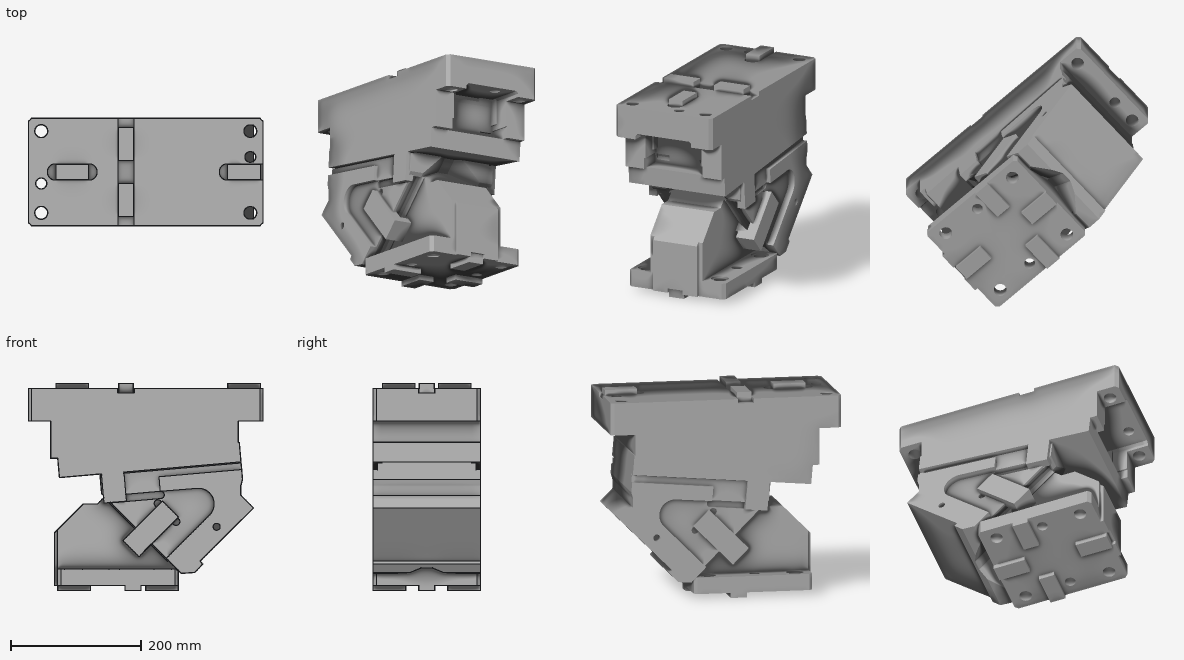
import cadquery as cq
import math

LENGTH = 360.0
HALF_WIDTH = 82.5
HEIGHT = 318.0
KEY_HEIGHT = 8.0
KEY_SLOT_DEPTH = 7.0
KEY_LENGTH = 50.5
BOLT_RADIUS = 9.7
DOWEL_RADIUS = 8.3
BOLT_Y = 62.5

TOP_FACE = HEIGHT - KEY_HEIGHT
UPPER_PLATE_BOTTOM = 260.0
CORNER_CHAMFER = 5.0

TRACK_ANGLE = math.radians(5)
TRACK_X = 47.5
TRACK_Z = 173.0
TRACK_LENGTH = 279.7
TRACK_END_HEIGHT = 30.0

CAM_SUM = 261.0
ROOF_SLOPE = math.tan(math.radians(30))


def track(along, above):
    """XZ point given along the track and square to it."""
    return (
        TRACK_X + along * math.cos(TRACK_ANGLE) - above * math.sin(TRACK_ANGLE),
        TRACK_Z + along * math.sin(TRACK_ANGLE) + above * math.cos(TRACK_ANGLE),
    )


def cam(down, above):
    """XZ point given by distance down the cam face and height above it."""
    return (
        CAM_SUM / 2 + (down + above) / math.sqrt(2),
        CAM_SUM / 2 + (above - down) / math.sqrt(2),
    )


def prism(points, y_min, y_max):
    """XZ outline extruded from y_min to y_max."""
    return cq.Workplane("XZ", origin=(0, y_max, 0)).polyline(points).close().extrude(y_max - y_min)


def cam_bar(section, start, end):
    """Section of (y, height above cam face) swept down the cam face from start to end."""
    x, z = cam(start, 0)
    plane = cq.Plane(origin=(x, 0, z), xDir=(0, 1, 0), normal=(1, 0, -1))
    return cq.Workplane(plane).polyline(section).close().extrude(end - start)


def block(x_min, x_max, y_min, y_max, z_min, z_max):
    return cq.Workplane("XY").box(
        x_max - x_min, y_max - y_min, z_max - z_min, centered=False
    ).translate((x_min, y_min, z_min))


def both_sides(shape):
    return shape.union(shape.mirror("XZ"))


def holes(points, radius, z_min, z_max):
    return cq.Workplane("XY", origin=(0, 0, z_min)).pushPoints(points).circle(radius).extrude(z_max - z_min)


HOLDER_STEP_Z = track(0, TRACK_END_HEIGHT)[1]
CROSS_SLOT_X = 137.0
CROSS_SLOT_WIDTH = 25.0
CROSS_KEY_CLEARANCE = 1.0
CROSS_KEY_INNER_Y = 17.5
LONG_KEY_HALF_WIDTH = 11.5
LONG_SLOT_HALF_WIDTH = 12.5
FRONT_KEY_X = 42.0
REAR_KEY_X = 305.5
LONG_SLOT_OVERRUN = 13.0
HOLE_INSET = 19.8
FRONT_DOWEL_Y = -17.5
REAR_DOWEL_Y = 23.0

HOLDER_FRONT_X = 34.2
HOLDER_REAR_X = 322.0
HOLDER_REAR_STEP_Z = 227.5

LEG_START = 64.8
LEG_END = 99.5
LEG_BOTTOM = -44.5
LEG_INNER_Y = 75.5
LIP_TOP = -34.5
LIP_INNER_Y = 69.0

CAVITY_HALF_WIDTH = 48.0
CAVITY_FOOT_HALF_WIDTH = 50.5
CAVITY_FOOT_TOP = 220.5
CAVITY_TOP = 269.0
CAVITY_CHAMFER = 3.5
CAVITY_BACK = 28.8
BACK_BEND = 81.7
BACK_LEAN = math.radians(7)
WALL_SLOT_HALF_WIDTH = 22.5
WALL_SLOT_BOTTOM = 262.8
WALL_SLOT_DEPTH = 3.5
RAIL_INNER_Y = 44.5
RAIL_BOTTOM = 228.2
RAIL_LENGTH = 10.8
NOTCH_INNER_Y = 26.0
NOTCH_BOTTOM = 208.0
NOTCH_HEIGHT = 9.5
NOTCH_DEPTH = 4.5


def upper_plate():
    plate = block(0, LENGTH, -HALF_WIDTH, HALF_WIDTH, UPPER_PLATE_BOTTOM, TOP_FACE)
    return plate.edges("|Z").chamfer(CORNER_CHAMFER)


def holder_trunk():
    outline = [
        (HOLDER_FRONT_X, UPPER_PLATE_BOTTOM),
        (HOLDER_FRONT_X, HOLDER_STEP_Z),
        track(0, TRACK_END_HEIGHT),
        track(0, 0),
        track(TRACK_LENGTH, 0),
        track(TRACK_LENGTH, TRACK_END_HEIGHT),
        (HOLDER_REAR_X, HOLDER_REAR_STEP_Z),
        (HOLDER_REAR_X, UPPER_PLATE_BOTTOM),
    ]
    return prism(outline, -HALF_WIDTH, HALF_WIDTH)


def hook_leg():
    """Leg on the +Y side with a lip that turns in under the slider flange."""

    def strip(top):
        return [
            track(LEG_START, LEG_BOTTOM), track(LEG_END, LEG_BOTTOM),
            track(LEG_END, top), track(LEG_START, top),
        ]

    return prism(strip(0), LEG_INNER_Y, HALF_WIDTH).union(prism(strip(LIP_TOP), LIP_INNER_Y, HALF_WIDTH))


def top_key_slots():
    floor = TOP_FACE - KEY_SLOT_DEPTH
    slots = block(CROSS_SLOT_X, CROSS_SLOT_X + CROSS_SLOT_WIDTH, -HALF_WIDTH, HALF_WIDTH, floor, TOP_FACE)
    length = KEY_LENGTH + 2 * LONG_SLOT_OVERRUN
    for key_x in (FRONT_KEY_X, REAR_KEY_X):
        slots = slots.union(
            cq.Workplane("XY", origin=(key_x + KEY_LENGTH / 2, 0, floor))
            .slot2D(length, 2 * LONG_SLOT_HALF_WIDTH).extrude(KEY_SLOT_DEPTH)
        )
    open_end = block(REAR_KEY_X, LENGTH, -LONG_SLOT_HALF_WIDTH, LONG_SLOT_HALF_WIDTH, floor, TOP_FACE)
    return slots.union(open_end)


def top_keys():
    floor = TOP_FACE - KEY_SLOT_DEPTH
    keys = both_sides(block(
        CROSS_SLOT_X + CROSS_KEY_CLEARANCE, CROSS_SLOT_X + CROSS_SLOT_WIDTH - CROSS_KEY_CLEARANCE,
        CROSS_KEY_INNER_Y, CROSS_KEY_INNER_Y + KEY_LENGTH, floor, HEIGHT,
    ))
    for key_x in (FRONT_KEY_X, REAR_KEY_X):
        keys = keys.union(block(
            key_x, key_x + KEY_LENGTH, -LONG_KEY_HALF_WIDTH, LONG_KEY_HALF_WIDTH, floor, HEIGHT
        ))
    return keys


def top_holes():
    rear_x = LENGTH - HOLE_INSET
    bolts = [(x, y) for x in (HOLE_INSET, rear_x) for y in (-BOLT_Y, BOLT_Y)]
    dowels = [(HOLE_INSET, FRONT_DOWEL_Y), (rear_x, REAR_DOWEL_Y)]
    return holes(bolts, BOLT_RADIUS, UPPER_PLATE_BOTTOM, TOP_FACE).union(
        holes(dowels, DOWEL_RADIUS, UPPER_PLATE_BOTTOM, TOP_FACE)
    )


def cavity_opening():
    """Stepped opening seen from -X, as a bar along X."""
    half = [
        (CAVITY_FOOT_HALF_WIDTH, HOLDER_STEP_Z),
        (CAVITY_FOOT_HALF_WIDTH, CAVITY_FOOT_TOP),
        (CAVITY_HALF_WIDTH, CAVITY_FOOT_TOP),
        (CAVITY_HALF_WIDTH, CAVITY_TOP - CAVITY_CHAMFER),
        (CAVITY_HALF_WIDTH - CAVITY_CHAMFER, CAVITY_TOP),
    ]
    section = half + [(-y, z) for y, z in reversed(half)]
    return cq.Workplane("YZ").polyline(section).close().extrude(LENGTH)


def back_wall_x(z):
    """X of the lower back wall, which stands square to the track."""
    bend_x, bend_z = track(CAVITY_BACK, BACK_BEND)
    return bend_x + (bend_z - z) * math.tan(TRACK_ANGLE)


def cavity_profile():
    """Side outline: level floor from the plate edge inward, back wall that leans forward at the top."""
    bend_x, bend_z = track(CAVITY_BACK, BACK_BEND)
    lean = (CAVITY_TOP - bend_z) * math.tan(TRACK_ANGLE + BACK_LEAN)
    return [
        (0, HOLDER_STEP_Z), (back_wall_x(HOLDER_STEP_Z), HOLDER_STEP_Z), (bend_x, bend_z),
        (bend_x - lean, CAVITY_TOP), (0, CAVITY_TOP),
    ]


def wall_notch():
    """Notch (+Y side) with a sloping floor at the foot of the back wall."""
    top = NOTCH_BOTTOM + NOTCH_HEIGHT
    front = back_wall_x(NOTCH_BOTTOM)
    back = front + NOTCH_DEPTH
    outline = [
        (front, NOTCH_BOTTOM), (back, NOTCH_BOTTOM + NOTCH_DEPTH), (back, top), (back_wall_x(top), top),
    ]
    return prism(outline, NOTCH_INNER_Y, CAVITY_HALF_WIDTH)


def front_cavity():
    cavity = cavity_opening().intersect(prism(cavity_profile(), -HALF_WIDTH, HALF_WIDTH))
    wall = back_wall_x(CAVITY_TOP)
    rail = block(wall - RAIL_LENGTH, LENGTH, RAIL_INNER_Y, HALF_WIDTH, RAIL_BOTTOM, CAVITY_TOP)
    slot = block(
        wall - WALL_SLOT_DEPTH, wall + WALL_SLOT_DEPTH,
        -WALL_SLOT_HALF_WIDTH, WALL_SLOT_HALF_WIDTH, WALL_SLOT_BOTTOM, CAVITY_TOP,
    )
    return cavity.cut(both_sides(rail)).union(slot).union(both_sides(wall_notch()))


def make_holder():
    holder = upper_plate().union(holder_trunk()).union(both_sides(hook_leg()))
    return holder.cut(top_key_slots()).union(top_keys()).cut(top_holes()).cut(front_cavity())


SLIDER_START = 62.3
FLANGE_GAP = 1.8
PAD_HALF_WIDTH = 68.5
CORE_HALF_WIDTH = 72.0
FLANGE_HALF_WIDTH = LEG_INNER_Y
GROOVE_FLOOR_Y = 67.0
GROOVE_TOP = -34.2
GROOVE_BOTTOM = -45.5
GROOVE_END = 158.0
CHEEK_START = 152.3
CHEEK_TOP = -12.0
TIP_X = 234.7
TIP = (TIP_X, CAM_SUM - TIP_X)
REAR_EDGE = [(255.0, 27.7), (267.5, 40.5), (263.5, 45.5), (345.2, 126.7), (325.8, 146.0), (325.8, 160.5)]
REAR_NOTCH_TOP = track(TRACK_LENGTH, -27.0)
WINDOW_CENTRE = (260.5, 133.0)
WINDOW_RADIUS = 24.0
WINDOW_TOP_ANGLE = 95
WINDOW_FOOT_ANGLE = -45
LIFT_HOLE = (288.7, 98.0)
LIFT_HOLE_RADIUS = 5.5
LIFT_HOLE_DEPTH = 14.5

V_HALF_WIDTH = 52.2
V_FLAT_HALF_WIDTH = 8.5
RECESS_SECTION = [(68.5, 0), (54.7, 8.0), (49.5, 6.5), (48.0, 2.5)]
RECESS_START = -18.5
RECESS_END = 140.0

RETURN_START = 48.2
RETURN_END = 83.0
RETURN_BOTTOM = -27.7
RETURN_TOP = 58.0
RETURN_LIP_TOP = -15.0
RETURN_LIP_Y = 52.0
RETURN_INNER_Y = 66.2
RELIEF_RADIUS = 5.8
RELIEF_DROP = 7.5
RELIEF_OFFSET = 2.0


def slider_outline(top):
    x_start, z_start = track(SLIDER_START, 0)
    drop = (x_start + z_start - CAM_SUM) / (math.cos(TRACK_ANGLE) - math.sin(TRACK_ANGLE))
    return [track(SLIDER_START, top), track(SLIDER_START, -drop), TIP, *REAR_EDGE, REAR_NOTCH_TOP,
            track(TRACK_LENGTH, top)]


def slider_core():
    pad = prism(slider_outline(0), -PAD_HALF_WIDTH, PAD_HALF_WIDTH)
    core = prism(slider_outline(-FLANGE_GAP), -CORE_HALF_WIDTH, CORE_HALF_WIDTH)
    return pad.union(core)


def slider_flange():
    band = [track(0, GROOVE_TOP), track(LENGTH, GROOVE_TOP), track(LENGTH, 0), track(0, 0)]
    flange = prism(slider_outline(-FLANGE_GAP), -FLANGE_HALF_WIDTH, FLANGE_HALF_WIDTH)
    return flange.intersect(prism(band, -FLANGE_HALF_WIDTH, FLANGE_HALF_WIDTH))


def cheek():
    """Outer side plate (+Y), with a round-ended window open to the cam face."""
    cx, cz = WINDOW_CENTRE

    def on_circle(degrees):
        angle = math.radians(degrees)
        return (cx + WINDOW_RADIUS * math.cos(angle), cz + WINDOW_RADIUS * math.sin(angle))

    arc_start = on_circle(WINDOW_TOP_ANGLE)
    arc_middle = on_circle((WINDOW_TOP_ANGLE + WINDOW_FOOT_ANGLE) / 2)
    arc_end = on_circle(WINDOW_FOOT_ANGLE)
    foot_drop = (sum(arc_end) - CAM_SUM) / 2
    return (
        cq.Workplane("XZ", origin=(0, HALF_WIDTH, 0))
        .moveTo(*track(CHEEK_START, GROOVE_TOP))
        .lineTo(*arc_start)
        .threePointArc(arc_middle, arc_end)
        .lineTo(arc_end[0] - foot_drop, arc_end[1] - foot_drop)
        .polyline([TIP, *REAR_EDGE, REAR_NOTCH_TOP], includeCurrent=True)
        .lineTo(*track(TRACK_LENGTH, CHEEK_TOP))
        .lineTo(*track(CHEEK_START, CHEEK_TOP))
        .close().extrude(HALF_WIDTH - PAD_HALF_WIDTH)
    )


def hook_groove():
    """Round-ended groove (+Y side) in which the lip of the holder leg runs."""
    radius = (GROOVE_TOP - GROOVE_BOTTOM) / 2
    middle = (GROOVE_TOP + GROOVE_BOTTOM) / 2
    return (
        cq.Workplane("XZ", origin=(0, HALF_WIDTH, 0))
        .moveTo(*track(0, GROOVE_TOP))
        .lineTo(*track(GROOVE_END - radius, GROOVE_TOP))
        .threePointArc(track(GROOVE_END, middle), track(GROOVE_END - radius, GROOVE_BOTTOM))
        .lineTo(*track(0, GROOVE_BOTTOM))
        .close().extrude(HALF_WIDTH - GROOVE_FLOOR_Y)
    )


def v_groove():
    depth = ROOF_SLOPE * (V_HALF_WIDTH - V_FLAT_HALF_WIDTH)
    half = [(V_HALF_WIDTH, 0), (V_FLAT_HALF_WIDTH, depth)]
    section = half + [(-y, height) for y, height in reversed(half)]
    return cam_bar(section, -LENGTH, LENGTH)


def side_recess():
    return cam_bar([*RECESS_SECTION, (RECESS_SECTION[-1][0], 0)], RECESS_START, RECESS_END)


def corner_relief():
    """Round reliefs at the two upper corners of the seat of the return block."""
    height = RETURN_TOP - RELIEF_DROP
    centres = [cam(RETURN_START - RELIEF_OFFSET, height), cam(RETURN_END + RELIEF_OFFSET, height)]
    return (
        cq.Workplane("XZ", origin=(0, CORE_HALF_WIDTH, 0)).pushPoints(centres)
        .circle(RELIEF_RADIUS).extrude(CORE_HALF_WIDTH - RETURN_INNER_Y)
    )


def return_block():
    section = [
        (RETURN_LIP_Y, RETURN_BOTTOM), (HALF_WIDTH, RETURN_BOTTOM), (HALF_WIDTH, RETURN_TOP),
        (RETURN_INNER_Y, RETURN_TOP), (RETURN_INNER_Y, RETURN_LIP_TOP), (RETURN_LIP_Y, RETURN_LIP_TOP),
    ]
    return cam_bar(section, RETURN_START, RETURN_END)


def lift_hole():
    return (
        cq.Workplane("XZ", origin=(0, HALF_WIDTH, 0)).center(*LIFT_HOLE)
        .circle(LIFT_HOLE_RADIUS).extrude(LIFT_HOLE_DEPTH)
    )


def make_slider():
    slider = slider_core().union(slider_flange()).union(both_sides(cheek()))
    for cutter in (hook_groove(), side_recess(), corner_relief(), lift_hole()):
        slider = slider.cut(both_sides(cutter))
    return slider.cut(v_groove()).union(both_sides(return_block()))


BASE_FRONT_X = 45.0
BASE_REAR_X = 230.0
BASE_BOTTOM = KEY_HEIGHT
BASE_PLATE_TOP = 33.0
COLUMN_HALF_WIDTH = 45.0
STEM_HALF_WIDTH = 37.5
STEM_X = 40.0
STEM_TOP = 89.0
SHELF_Z = 133.2
SHELF_END_X = 106.2
RAMP_HEIGHT = 54.0
ROOF_HALF_WIDTH = 45.0
ROOF_FLAT_HALF_WIDTH = 7.2
PAD_OUTER_Y = 48.5
PAD_START = -18.0
PAD_END = 118.8
LUG_START = 52.5
LUG_END = 82.5
BASE_GAP = 1.0
BASE_BOLT_SPACING = 136.8
COUNTERBORE_RADIUS = 13.5
COUNTERBORE_DEPTH = 1.8
BASE_DOWEL_X = 131.8
BASE_DOWEL_Y = 60.0
BASE_CROSS_KEY_X = 148.0
BASE_CROSS_KEY_INNER_Y = 32.0
BASE_KEY_HALF_WIDTH = 12.5


def base_plate():
    plate = block(BASE_FRONT_X, BASE_REAR_X, -HALF_WIDTH, HALF_WIDTH, BASE_BOTTOM, BASE_PLATE_TOP)
    plate = plate.edges("|Z").chamfer(CORNER_CHAMFER)
    clearance = [(-LENGTH, -BASE_GAP), (LENGTH, -BASE_GAP), (LENGTH, LENGTH), (-LENGTH, LENGTH)]
    return plate.cut(cam_bar(clearance, 0, LENGTH))


def base_column():
    rise = STEM_TOP - STEM_X
    outline = [
        (BASE_FRONT_X, BASE_BOTTOM),
        (BASE_FRONT_X, BASE_FRONT_X + rise),
        (SHELF_Z - rise, SHELF_Z),
        (SHELF_END_X, SHELF_Z),
        (SHELF_END_X + RAMP_HEIGHT, SHELF_Z + RAMP_HEIGHT),
        (BASE_REAR_X, SHELF_Z),
        (BASE_REAR_X, BASE_BOTTOM),
    ]
    peak = ROOF_SLOPE * (ROOF_HALF_WIDTH - ROOF_FLAT_HALF_WIDTH)
    under = -LENGTH
    roof = [
        (-ROOF_HALF_WIDTH, under), (-ROOF_HALF_WIDTH, 0), (-ROOF_FLAT_HALF_WIDTH, peak),
        (ROOF_FLAT_HALF_WIDTH, peak), (ROOF_HALF_WIDTH, 0), (ROOF_HALF_WIDTH, under),
    ]
    column = prism(outline, -COLUMN_HALF_WIDTH, COLUMN_HALF_WIDTH).intersect(cam_bar(roof, -LENGTH, LENGTH))
    stem = [
        (STEM_X, BASE_BOTTOM), (STEM_X, STEM_TOP),
        (BASE_FRONT_X, BASE_FRONT_X + rise), (BASE_FRONT_X, BASE_BOTTOM),
    ]
    return column.union(prism(stem, -STEM_HALF_WIDTH, STEM_HALF_WIDTH))


def return_lug():
    """Lug on the +Y side above the lip of the return block."""

    def roof(y):
        return ROOF_SLOPE * (ROOF_HALF_WIDTH - y)

    section = [
        (STEM_HALF_WIDTH, RETURN_LIP_TOP), (RETURN_INNER_Y, RETURN_LIP_TOP),
        (RETURN_INNER_Y, roof(RETURN_INNER_Y)), (STEM_HALF_WIDTH, roof(STEM_HALF_WIDTH)),
    ]
    return cam_bar(section, LUG_START, LUG_END)


def wear_pad():
    """Pad on the +Y slope of the roof that carries the V groove of the slider."""

    def on_slope(y, foot_y):
        return (y, ROOF_SLOPE * (foot_y - y))

    section = [
        on_slope(V_FLAT_HALF_WIDTH, ROOF_HALF_WIDTH), on_slope(PAD_OUTER_Y, ROOF_HALF_WIDTH),
        on_slope(PAD_OUTER_Y, V_HALF_WIDTH), on_slope(V_FLAT_HALF_WIDTH, V_HALF_WIDTH),
    ]
    return cam_bar(section, PAD_START, PAD_END)


def base_keys():
    keys = both_sides(block(
        BASE_CROSS_KEY_X, BASE_CROSS_KEY_X + CROSS_SLOT_WIDTH,
        BASE_CROSS_KEY_INNER_Y, HALF_WIDTH, 0, BASE_BOTTOM,
    ))
    for key_x in (BASE_FRONT_X, BASE_REAR_X - KEY_LENGTH):
        keys = keys.union(block(
            key_x, key_x + KEY_LENGTH, -BASE_KEY_HALF_WIDTH, BASE_KEY_HALF_WIDTH, 0, BASE_BOTTOM
        ))
    return keys


def stem_slot():
    return block(
        STEM_X, BASE_FRONT_X, -BASE_KEY_HALF_WIDTH, BASE_KEY_HALF_WIDTH,
        BASE_BOTTOM, BASE_BOTTOM + KEY_SLOT_DEPTH,
    )


def base_holes():
    middle = (BASE_FRONT_X + BASE_REAR_X) / 2
    xs = [middle - BASE_BOLT_SPACING / 2, middle + BASE_BOLT_SPACING / 2]
    bolts = [(x, y) for x in xs for y in (-BOLT_Y, BOLT_Y)]
    dowels = [(BASE_DOWEL_X, -BASE_DOWEL_Y), (BASE_DOWEL_X, BASE_DOWEL_Y)]
    floor = BASE_PLATE_TOP - COUNTERBORE_DEPTH
    return (
        holes(bolts, BOLT_RADIUS, BASE_BOTTOM, BASE_PLATE_TOP)
        .union(holes(bolts, COUNTERBORE_RADIUS, floor, BASE_PLATE_TOP))
        .union(holes(dowels, DOWEL_RADIUS, BASE_BOTTOM, BASE_PLATE_TOP))
    )


def make_base():
    plate = base_plate().cut(base_holes())
    base = plate.union(base_column()).union(both_sides(return_lug()))
    base = base.union(both_sides(wear_pad()))
    return base.cut(stem_slot()).union(base_keys())


holder = make_holder()
slider = make_slider()
base = make_base()
result = cq.Compound.makeCompound([holder.solids().val(), slider.solids().val(), base.solids().val()])